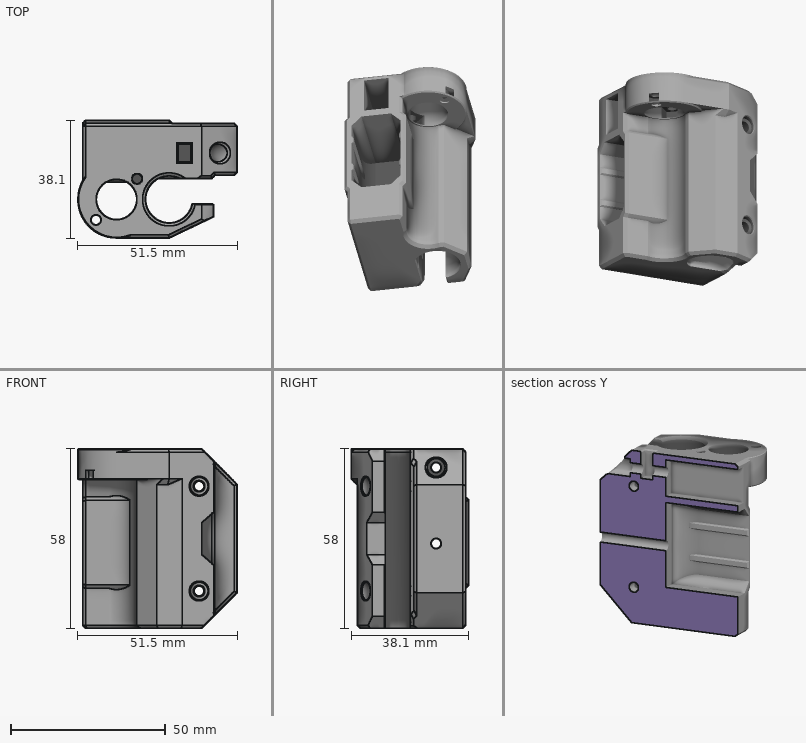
import cadquery as cq
import math

HEIGHT = 58.0
MID_Z = HEIGHT / 2
LEFT_X = -11.0
RIGHT_X = 39.0
REAR_Y = 24.6
BODY_FRONT_Y = 6.6
BEVEL = 1.0
SMALL_BEVEL = 0.4
TOLERANCE = 0.01

COLLAR_RADIUS = 12.5
COLLAR_TOP_BEVEL = 0.2
COLLAR_BOTTOM = 48.0
BLOCK_BOTTOM = COLLAR_BOTTOM + SMALL_BEVEL
SCREW_BORE_DIA = 13.02
SCREW_CLEARANCE_RADIUS = 7.0
NUT_SCREW_DIA = 3.2
NUT_SCREW_OFFSET = 6.65
NUT_FLATS = 5.8
NUT_POCKET_TOP = 51.1
INNER_NUT_WIDTH = 5.4
INNER_NUT_TOP = 52.2
INNER_HOLE_DIA = 3.7
INNER_HOLE_BOTTOM = 40.0

ROD_X = 17.0
ROD_RADIUS = 7.6
ROD_LEDGE_HEIGHT = 2.0
SLOT_REAR_Y = 6.7
SLOT_FRONT_Y = -1.4
ARM_END_X = 31.4
ARM_TIP_Y = -5.6
ARM_FRONT_Y = -10.5
CLAMP_LEFT_X = 6.6
CLAMP_SHOULDER_Y = -4.1
NOTCH_DEPTH = 3.8
NOTCH_HALF_OPENING = 8.5
NOTCH_HALF_FLOOR = 5.2

CORNER_CUT = 11.5
PLATE_FRONT_Y = 7.75
PLATE_STEP_X = 31.8

CLAMP_SCREW_X = 26.7
CLAMP_SCREW_SPACING = 33.9
CLAMP_HOLE_DIA = 3.7
CLAMP_THREAD_DIA = 3.2
HEAD_DIA = 5.8
HEAD_SEAT_Y = -5.0
HEAD_BEVEL = 0.3

PAD_RIGHT_X = 18.0
PAD_FRONT_Y = 5.5
PAD_REAR_Y = 25.61
PAD_BOTTOM = 14.0
PAD_TOP = 41.4
PAD_SLOPE = 3.0
CAVITY_Y = 15.08
CAVITY_WIDTH = 16.06
CAVITY_BOTTOM = 13.5
CAVITY_TOP = 41.8
CAVITY_CORNER = 3.2
CAVITY_END_X = 15.0
CAVITY_END_RADIUS = 12.0
RIB_HEIGHT = 2.6
RIB_DEPTH = 0.55
RIB_BEVEL = 0.5
RIB_CENTRES_Z = (22.2, 33.0)

CHANNEL_Y = 15.0
LONG_SCREW_DIA = 3.2
UPPER_SCREW_Z = 52.0
LOWER_SCREW_Z = 27.4
UPPER_HEAD_SEAT_X = 28.0
UPPER_HEAD_BEVEL = 0.6
POCKET_WIDTH = 8.0
POCKET_BOTTOM = 44.1
POCKET_TOP = 56.1
NUT_SLOT_X = 22.0
NUT_SLOT_LENGTH = 4.1
NUT_SLOT_WIDTH = 5.8
NUT_SLOT_BOTTOM = 49.0
NUT_SLOT_BEVEL = 0.45


def box(x0, x1, y0, y1, z0, z1):
    """Axis-aligned box between two corners."""
    return cq.Workplane("XY").box(x1 - x0, y1 - y0, z1 - z0, centered=False).translate((x0, y0, z0))


def rod_x(dia, y, z, x0, x1):
    """Cylinder along X."""
    return cq.Workplane("YZ", origin=(x0, y, z)).circle(dia / 2).extrude(x1 - x0)


def rod_y(dia, x, z, y0, y1):
    """Cylinder along Y."""
    return cq.Workplane("XZ", origin=(x, y0, z)).circle(dia / 2).extrude(y0 - y1)


def rod_z(dia, x, y, z0, z1):
    """Cylinder along Z."""
    return cq.Workplane("XY", origin=(x, y, z0)).circle(dia / 2).extrude(z1 - z0)


step_start_x = PLATE_STEP_X - (PLATE_FRONT_Y - SLOT_REAR_Y)
CLAMP_SIDE = [
    (LEFT_X, REAR_Y),
    (RIGHT_X, REAR_Y),
    (RIGHT_X, SLOT_REAR_Y + RIGHT_X - step_start_x),
    (step_start_x, SLOT_REAR_Y),
    (ROD_X, SLOT_REAR_Y),
    (ROD_X, SLOT_FRONT_Y),
    (ARM_END_X, SLOT_FRONT_Y),
    (ARM_END_X, ARM_TIP_Y),
    (ROD_X, -COLLAR_RADIUS),
]
ARM_SLOPE = (ARM_TIP_Y + COLLAR_RADIUS) / (ARM_END_X - ROD_X)


def slant_x(y):
    """X on the 45 degree clamp flank at the given Y."""
    return CLAMP_LEFT_X + CLAMP_SHOULDER_Y - y


def arm_x(y):
    """X on the sloping arm face at the given Y."""
    return ROD_X + (y + COLLAR_RADIUS) / ARM_SLOPE


def corner_cutters():
    """Wedges that remove the top and bottom right corners."""
    wedges = cq.Workplane("XY")
    for z, inward in ((HEIGHT, -1), (0, 1)):
        wedges = wedges.union(
            cq.Workplane("XZ", origin=(0, REAR_Y, 0))
            .polyline([
                (RIGHT_X - CORNER_CUT, z),
                (RIGHT_X, z + inward * CORNER_CUT),
                (RIGHT_X, z),
            ])
            .close()
            .extrude(REAR_Y + COLLAR_RADIUS)
        )
    return wedges


def lower_body():
    """Full-height body with the screw clearance channel in its front."""
    arc_start = (-math.sqrt(SCREW_CLEARANCE_RADIUS**2 - BODY_FRONT_Y**2), BODY_FRONT_Y)
    arc_end = (CLAMP_LEFT_X, -math.sqrt(SCREW_CLEARANCE_RADIUS**2 - CLAMP_LEFT_X**2))
    arc_mid = (SCREW_CLEARANCE_RADIUS / math.sqrt(2), SCREW_CLEARANCE_RADIUS / math.sqrt(2))
    front = [
        (arm_x(ARM_FRONT_Y), ARM_FRONT_Y),
        (slant_x(ARM_FRONT_Y), ARM_FRONT_Y),
        (CLAMP_LEFT_X, CLAMP_SHOULDER_Y),
        arc_end,
    ]
    body = (
        cq.Workplane("XY")
        .polyline(CLAMP_SIDE[:-1] + front)
        .threePointArc(arc_mid, arc_start)
        .lineTo(LEFT_X + BEVEL, BODY_FRONT_Y)
        .lineTo(LEFT_X, BODY_FRONT_Y + BEVEL)
        .close()
        .extrude(HEIGHT)
    )
    return body


def collar_block():
    """Block behind and beside the collar, reaching the front of the clamp."""
    return (
        cq.Workplane("XY", origin=(0, 0, BLOCK_BOTTOM))
        .polyline(CLAMP_SIDE + [(0, -COLLAR_RADIUS), (LEFT_X, 0)])
        .close()
        .extrude(HEIGHT - BLOCK_BOTTOM)
    )


def collar():
    """Round collar around the lead screw."""
    body = rod_z(2 * COLLAR_RADIUS, 0, 0, COLLAR_BOTTOM, HEIGHT)
    body = body.faces("<Z").edges().chamfer(SMALL_BEVEL)
    return body.faces(">Z").edges().chamfer(COLLAR_TOP_BEVEL)


def flare():
    """45 degree overhang that carries the collar front down to the arm front."""
    drop = ARM_FRONT_Y + COLLAR_RADIUS
    taper = (
        cq.Workplane("XY", origin=(0, 0, BLOCK_BOTTOM))
        .polyline([
            (-ROD_X, -COLLAR_RADIUS),
            (ROD_X, -COLLAR_RADIUS),
            (ARM_END_X, ARM_TIP_Y),
            (ARM_END_X, REAR_Y),
            (-ROD_X, REAR_Y),
        ])
        .close()
        .extrude(-drop, taper=45)
    )
    limit = (
        cq.Workplane("XY", origin=(0, 0, BLOCK_BOTTOM - drop))
        .polyline([
            (slant_x(ARM_FRONT_Y), ARM_FRONT_Y),
            (slant_x(-COLLAR_RADIUS), -COLLAR_RADIUS),
            (ROD_X, -COLLAR_RADIUS),
            (arm_x(ARM_FRONT_Y), ARM_FRONT_Y),
        ])
        .close()
        .extrude(drop)
    )
    return taper.intersect(limit)


def is_rear_edge(edge):
    """True for the outline of the rear face."""
    return edge.BoundingBox().ymin > REAR_Y - TOLERANCE


def is_outer_edge(edge):
    """True for the outline edges that carry the large bevel."""
    centre = edge.Center()
    length_box = edge.BoundingBox()
    slot_side = centre.x > ROD_X - TOLERANCE and SLOT_FRONT_Y - TOLERANCE < centre.y < SLOT_REAR_Y + TOLERANCE
    level = length_box.zlen < TOLERANCE
    across_corner = length_box.xlen < TOLERANCE and abs(centre.x - (RIGHT_X - CORNER_CUT)) < TOLERANCE
    bottom = level and centre.z < TOLERANCE and not slot_side and not across_corner
    top_left = level and centre.z > HEIGHT - TOLERANCE and centre.x < LEFT_X + TOLERANCE
    top_front = level and centre.z > HEIGHT - TOLERANCE and centre.y < ARM_TIP_Y and not across_corner
    return is_rear_edge(edge) or bottom or top_left or top_front


def is_slot_wall_edge(edge):
    """True for the cut-corner edges along the front of the slot wall and the step beside it."""
    length_box = edge.BoundingBox()
    front = SLOT_REAR_Y - TOLERANCE < edge.Center().y < REAR_Y - TOLERANCE
    return front and length_box.zlen > TOLERANCE and length_box.xlen > TOLERANCE


def is_slot_lip_edge(edge):
    """True for the edges around the arm face that looks into the slot."""
    length_box = edge.BoundingBox()
    on_face = length_box.ylen < TOLERANCE and abs(length_box.ymin - SLOT_FRONT_Y) < TOLERANCE
    return on_face and edge.Center().x > ROD_X + TOLERANCE


def bevel(body, size, wanted):
    """Chamfer every edge of the body that the test accepts."""
    return body.newObject([edge for edge in body.edges().vals() if wanted(edge)]).chamfer(size)


def end_plate():
    """Right end of the body, set back from the slot wall and bevelled along its front."""
    plate = box(RIGHT_X - CORNER_CUT, RIGHT_X, PLATE_FRONT_Y, REAR_Y, 0, HEIGHT).cut(corner_cutters())
    return plate.faces("<Y").edges("not <X").chamfer(BEVEL)


def is_upper_head_mouth(edge):
    """True for the rim where the upper lengthwise screw head enters the cut corner."""
    centre = edge.Center()
    on_axis = abs(centre.y - CHANNEL_Y) < HEAD_DIA / 2 and abs(centre.z - UPPER_SCREW_Z) < HEAD_DIA / 2
    return on_axis and edge.BoundingBox().xlen > HEAD_DIA - TOLERANCE and edge.geomType() != "LINE"


def is_clamp_head_mouth(edge):
    """True for the rims where the clamp screw heads enter the sloping arm face."""
    length_box = edge.BoundingBox()
    near = edge.Center().y < HEAD_SEAT_Y and abs(edge.Center().x - CLAMP_SCREW_X) < HEAD_DIA / 2
    return near and length_box.ylen > TOLERANCE and edge.geomType() != "LINE"


def bevelled_body():
    """Body, collar block and end plate with their corners cut and outline edges bevelled."""
    body = lower_body().union(collar_block()).cut(corner_cutters())
    body = bevel(body, BEVEL, is_slot_wall_edge)
    body = body.union(end_plate()).clean()
    body = bevel(body, BEVEL, is_outer_edge)
    return bevel(body, SMALL_BEVEL, is_slot_lip_edge)


def arm_notch():
    """Trapezoid notch in the free end of the clamp arm."""
    inner_x = ARM_END_X - NOTCH_DEPTH
    return (
        cq.Workplane("XZ", origin=(0, SLOT_FRONT_Y, 0))
        .polyline([
            (ARM_END_X, MID_Z - NOTCH_HALF_OPENING),
            (ARM_END_X, MID_Z + NOTCH_HALF_OPENING),
            (inner_x, MID_Z + NOTCH_HALF_FLOOR),
            (inner_x, MID_Z - NOTCH_HALF_FLOOR),
        ])
        .close()
        .extrude(COLLAR_RADIUS)
    )


def pad():
    """Raised housing around the cavity, with 45 degree slopes at its top and bottom."""
    section = [
        (PAD_FRONT_Y, PAD_BOTTOM),
        (PAD_FRONT_Y, PAD_TOP),
        (PAD_FRONT_Y + PAD_SLOPE, PAD_TOP + PAD_SLOPE),
        (PAD_REAR_Y - PAD_SLOPE, PAD_TOP + PAD_SLOPE),
        (PAD_REAR_Y, PAD_TOP),
        (PAD_REAR_Y, PAD_BOTTOM),
        (PAD_REAR_Y - PAD_SLOPE, PAD_BOTTOM - PAD_SLOPE),
        (PAD_FRONT_Y + PAD_SLOPE, PAD_BOTTOM - PAD_SLOPE),
    ]
    housing = (
        cq.Workplane("YZ", origin=(LEFT_X, 0, 0))
        .polyline(section)
        .close()
        .extrude(PAD_RIGHT_X - LEFT_X)
    )
    return housing.faces("<X or >X").edges().chamfer(BEVEL)


def cavity_plan():
    """Plan of the cavity: straight walls that curve in toward a narrower flat end."""
    half = CAVITY_WIDTH / 2
    end_half = half - CAVITY_CORNER
    end_angle = math.acos(1 - CAVITY_CORNER / CAVITY_END_RADIUS)

    def on_curve(angle):
        x = CAVITY_END_X - CAVITY_END_RADIUS * (math.sin(end_angle) - math.sin(angle))
        return x, half - CAVITY_END_RADIUS * (1 - math.cos(angle))

    start = on_curve(0)
    middle = on_curve(end_angle / 2)
    return (
        cq.Workplane("XY", origin=(0, CAVITY_Y, CAVITY_BOTTOM))
        .moveTo(LEFT_X, half)
        .lineTo(*start)
        .threePointArc(middle, (CAVITY_END_X, end_half))
        .lineTo(CAVITY_END_X, -end_half)
        .threePointArc((middle[0], -middle[1]), (start[0], -half))
        .lineTo(LEFT_X, -half)
        .close()
        .extrude(CAVITY_TOP - CAVITY_BOTTOM)
    )


def cavity():
    """Octagonal cavity open to the left, less its four guide ribs."""
    space = (
        box(LEFT_X, CAVITY_END_X, CAVITY_Y - CAVITY_WIDTH / 2, CAVITY_Y + CAVITY_WIDTH / 2,
            CAVITY_BOTTOM, CAVITY_TOP)
        .edges("|X").chamfer(CAVITY_CORNER)
    )
    space = space.intersect(cavity_plan())
    for side in (-1, 1):
        wall = CAVITY_Y + side * CAVITY_WIDTH / 2
        inner = wall - side * RIB_DEPTH
        for z in RIB_CENTRES_Z:
            rib = box(LEFT_X, CAVITY_END_X, min(wall, inner), max(wall, inner),
                      z - RIB_HEIGHT / 2, z + RIB_HEIGHT / 2)
            inner_face = ">Y" if side < 0 else "<Y"
            space = space.cut(rib.faces(inner_face).edges("|X or <X").chamfer(RIB_BEVEL))
    return space


def rod_bore():
    """Rod bore with a conical lead-in at the top and a low ledge level with the slot wall."""
    bore = rod_z(2 * ROD_RADIUS, ROD_X, 0, 0, HEIGHT)
    ledge = box(ROD_X - ROD_RADIUS, ROD_X + ROD_RADIUS, SLOT_REAR_Y, REAR_Y, 0, ROD_LEDGE_HEIGHT)
    bore = bore.cut(ledge)
    lead_in = (
        cq.Workplane("XY", origin=(ROD_X, 0, HEIGHT))
        .circle(ROD_RADIUS + BEVEL)
        .extrude(-BEVEL, taper=45)
    )
    return bore.union(lead_in)


def along_diagonal(solid, offset):
    """Turn a tool 45 degrees about Z and move it out along the collar's diagonal."""
    return solid.rotate((0, 0, 0), (0, 0, 1), 45).translate((offset, offset, 0))


def collar_cuts():
    """Lead screw bore, the two screws that hold its nut, and their nut pockets."""
    nut_corners = NUT_FLATS / math.cos(math.pi / 6)
    side = nut_corners / 2
    cuts = rod_z(SCREW_BORE_DIA, 0, 0, COLLAR_BOTTOM, HEIGHT)

    cuts = cuts.union(rod_z(NUT_SCREW_DIA, -NUT_SCREW_OFFSET, -NUT_SCREW_OFFSET, COLLAR_BOTTOM, HEIGHT))
    hexagon = (
        cq.Workplane("XY", origin=(0, 0, BLOCK_BOTTOM))
        .polygon(6, nut_corners)
        .extrude(NUT_POCKET_TOP - BLOCK_BOTTOM)
        .rotate((0, 0, 0), (0, 0, 1), 30)
    )
    mouth = box(-nut_corners, 0, -side / 2, side / 2, BLOCK_BOTTOM, NUT_POCKET_TOP)
    cuts = cuts.union(along_diagonal(hexagon.union(mouth), -NUT_SCREW_OFFSET))

    cuts = cuts.union(rod_z(NUT_SCREW_DIA, NUT_SCREW_OFFSET, NUT_SCREW_OFFSET, BLOCK_BOTTOM, HEIGHT))
    lower_hole = rod_z(INNER_HOLE_DIA, NUT_SCREW_OFFSET, NUT_SCREW_OFFSET, INNER_HOLE_BOTTOM, BLOCK_BOTTOM)
    cuts = cuts.union(lower_hole)
    slot = box(-SCREW_BORE_DIA / 2, NUT_FLATS / 2, -INNER_NUT_WIDTH / 2, INNER_NUT_WIDTH / 2,
               BLOCK_BOTTOM, INNER_NUT_TOP)
    return cuts.union(along_diagonal(slot, NUT_SCREW_OFFSET))


def clamp_screw_cuts():
    """Clamp screw holes: head seat and clearance in the arm, thread core in the plate."""
    cuts = cq.Workplane("XY")
    for sign in (-1, 1):
        z = MID_Z + sign * CLAMP_SCREW_SPACING / 2
        cuts = cuts.union(rod_y(CLAMP_THREAD_DIA, CLAMP_SCREW_X, z, SLOT_FRONT_Y, REAR_Y))
        cuts = cuts.union(rod_y(CLAMP_HOLE_DIA, CLAMP_SCREW_X, z, HEAD_SEAT_Y, SLOT_FRONT_Y))
        cuts = cuts.union(rod_y(HEAD_DIA, CLAMP_SCREW_X, z, -COLLAR_RADIUS, HEAD_SEAT_Y))
    return cuts


def lengthwise_cuts():
    """Two lengthwise screw holes, the end pocket and the nut slot in the top."""
    cuts = rod_x(LONG_SCREW_DIA, CHANNEL_Y, LOWER_SCREW_Z, LEFT_X, RIGHT_X)
    cuts = cuts.union(rod_x(LONG_SCREW_DIA, CHANNEL_Y, UPPER_SCREW_Z, LEFT_X, RIGHT_X))
    cuts = cuts.union(rod_x(HEAD_DIA, CHANNEL_Y, UPPER_SCREW_Z, UPPER_HEAD_SEAT_X, RIGHT_X))
    cuts = cuts.union(box(LEFT_X, CAVITY_END_X, CHANNEL_Y - POCKET_WIDTH / 2, CHANNEL_Y + POCKET_WIDTH / 2,
                          POCKET_BOTTOM, POCKET_TOP))
    return cuts.union(nut_slot())


def nut_slot():
    """Nut slot in the top face with a bevelled mouth."""
    slot = (
        cq.Workplane("XY", origin=(NUT_SLOT_X, CHANNEL_Y, NUT_SLOT_BOTTOM))
        .rect(NUT_SLOT_LENGTH, NUT_SLOT_WIDTH)
        .extrude(HEIGHT - NUT_SLOT_BOTTOM)
    )
    mouth = (
        cq.Workplane("XY", origin=(NUT_SLOT_X, CHANNEL_Y, HEIGHT))
        .rect(NUT_SLOT_LENGTH + 2 * NUT_SLOT_BEVEL, NUT_SLOT_WIDTH + 2 * NUT_SLOT_BEVEL)
        .extrude(-NUT_SLOT_BEVEL, taper=45)
    )
    return slot.union(mouth)


result = bevelled_body().cut(arm_notch())
result = result.union(flare()).union(collar()).union(pad())
result = result.cut(cavity()).cut(rod_bore()).cut(collar_cuts())
result = result.cut(clamp_screw_cuts()).cut(lengthwise_cuts())
result = bevel(result, UPPER_HEAD_BEVEL, is_upper_head_mouth)
result = bevel(result, HEAD_BEVEL, is_clamp_head_mouth)